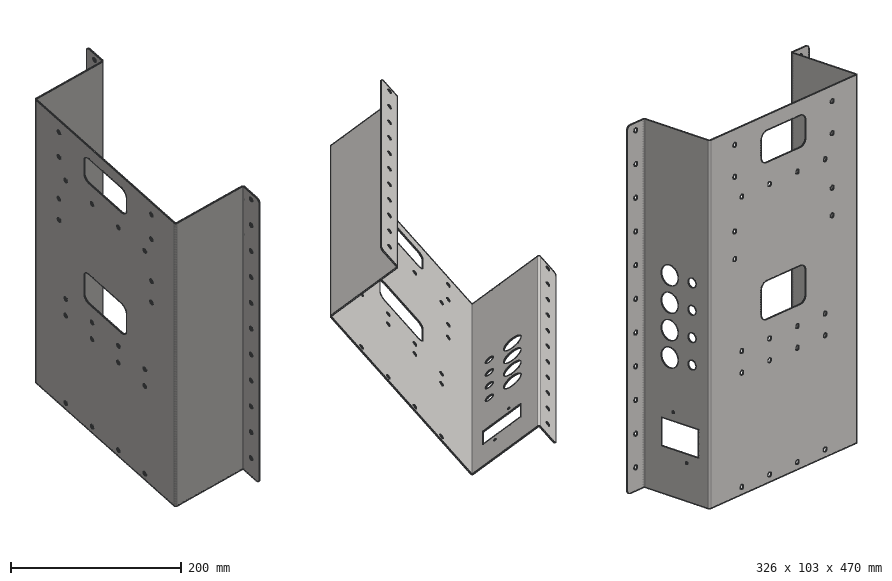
import cadquery as cq

width = 326.0
depth = 103.0
height = 470.0

sheet = 1.5
inner_bend = 1.0
outer_bend = inner_bend + sheet
channel_width = 266.0
flange_corner_radius = 5.0

screw_hole = 6.0
flange_hole_count = 11
flange_hole_x = 148.0
flange_hole_top = 225.0
flange_hole_bottom = -205.0
side_hole_x = 87.5
side_hole_heights = [215.3, 174.5, 105.0, 69.5]
row_hole_pitch = 50.0
row_hole_count = 4
row_heights = [145.0, -51.5, -79.5, -225.0]

window_width = 80.5
window_radius = 10.0
upper_window_height = 41.0
upper_window_z = 195.0
lower_window_height = 49.5
lower_window_z = -1.0

large_hole = 26.5
small_hole = 12.0
large_hole_y = 11.0
small_hole_y = -24.0
wall_hole_count = 4
wall_hole_top = 46.0
wall_hole_bottom = -58.8

cutout_width = 57.5
cutout_height = 36.0
cutout_y = -5.0
cutout_z = -156.5
fixing_hole = 3.5
fixing_offset_y = 10.5
fixing_offset_z = 29.5

half_width = width / 2
half_channel = channel_width / 2
front_y = -depth / 2
back_y = depth / 2


def evenly_spaced(first, last, count):
    """Positions from first to last with equal gaps."""
    step = (last - first) / (count - 1)
    return [first + i * step for i in range(count)]


def bend(body, x, y, radius):
    """Round the pair of fold edges at (-x, y) and (x, y)."""
    left_edge = cq.selectors.NearestToPointSelector((-x, y, 0))
    right_edge = cq.selectors.NearestToPointSelector((x, y, 0))
    return body.edges("|Z").edges(left_edge + right_edge).fillet(radius)


def hat_channel():
    """Bent sheet: front plate, two side walls and two outward flanges."""
    half_inside = half_channel - sheet
    outline = [
        (-half_width, back_y),
        (-half_inside, back_y),
        (-half_inside, front_y + sheet),
        (half_inside, front_y + sheet),
        (half_inside, back_y),
        (half_width, back_y),
        (half_width, back_y - sheet),
        (half_channel, back_y - sheet),
        (half_channel, front_y),
        (-half_channel, front_y),
        (-half_channel, back_y - sheet),
        (-half_width, back_y - sheet),
    ]
    body = cq.Workplane("XY").polyline(outline).close().extrude(height)
    body = body.translate((0, 0, -height / 2))

    body = bend(body, half_channel, front_y, outer_bend)
    body = bend(body, half_inside, back_y, outer_bend)
    body = bend(body, half_inside, front_y + sheet, inner_bend)
    body = bend(body, half_channel, back_y - sheet, inner_bend)
    return body.edges("|Y and (<X or >X)").fillet(flange_corner_radius)


def front_cutter(sketch_plane):
    """Extend a front-facing sketch beyond both faces of the channel."""
    return sketch_plane.extrude(depth, both=True)


def front_holes():
    """Screw holes through the flanges and the front plate."""
    flange_heights = evenly_spaced(flange_hole_top, flange_hole_bottom, flange_hole_count)
    last_row_x = row_hole_pitch * (row_hole_count - 1) / 2
    row_x = evenly_spaced(-last_row_x, last_row_x, row_hole_count)
    points = [(x, z) for x in (-flange_hole_x, flange_hole_x) for z in flange_heights]
    points += [(x, z) for x in (-side_hole_x, side_hole_x) for z in side_hole_heights]
    points += [(x, z) for x in row_x for z in row_heights]
    return front_cutter(cq.Workplane("XZ").pushPoints(points).circle(screw_hole / 2))


def front_window(window_height, z):
    """Window with rounded corners, centred across the front plate."""
    blank = front_cutter(cq.Workplane("XZ").center(0, z).rect(window_width, window_height))
    return blank.edges("|Y").fillet(window_radius)


def left_wall_cutters():
    """Openings that pass through the -X wall only."""
    wall = cq.Workplane("YZ", origin=(-half_channel, 0, 0))
    reach = 2 * sheet
    heights = evenly_spaced(wall_hole_top, wall_hole_bottom, wall_hole_count)
    fixings = [
        (cutout_y + side * fixing_offset_y, cutout_z + side * fixing_offset_z)
        for side in (-1, 1)
    ]
    round_holes = [
        (large_hole, [(large_hole_y, z) for z in heights]),
        (small_hole, [(small_hole_y, z) for z in heights]),
        (fixing_hole, fixings),
    ]
    cutter = wall.center(cutout_y, cutout_z).rect(cutout_width, cutout_height)
    cutter = cutter.extrude(reach, both=True)
    for diameter, points in round_holes:
        holes = wall.pushPoints(points).circle(diameter / 2)
        cutter = cutter.union(holes.extrude(reach, both=True))
    return cutter


result = (
    hat_channel()
    .cut(front_holes())
    .cut(front_window(upper_window_height, upper_window_z))
    .cut(front_window(lower_window_height, lower_window_z))
    .cut(left_wall_cutters())
)